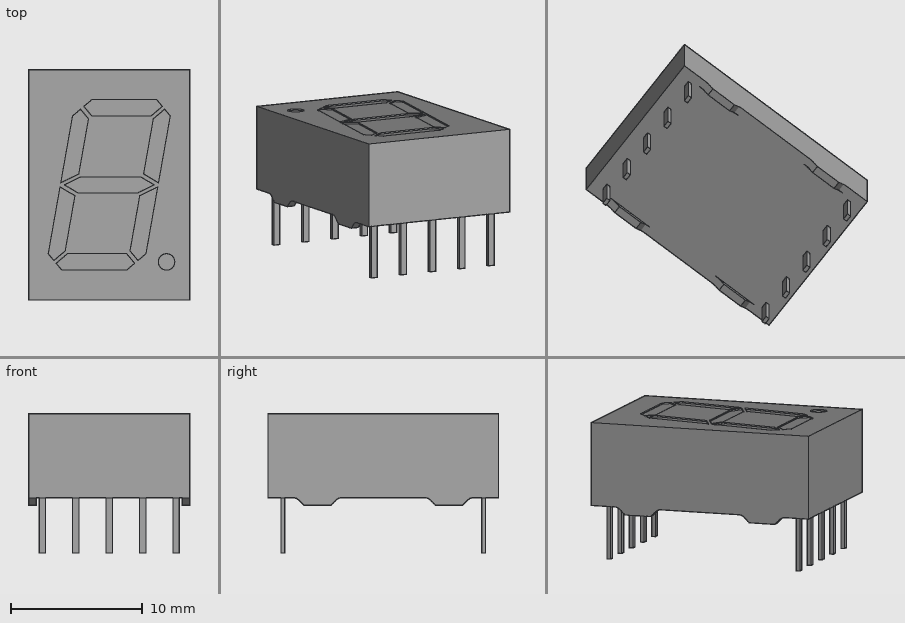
import cadquery as cq
import math

BODY_X = 12.25
BODY_Y = 17.5
BODY_Z = 6.4

PIN_X = 0.5
PIN_Y = 0.3
PIN_LENGTH = 4.2
PIN_PITCH = 2.54
PINS_PER_ROW = 5
ROW_SPACING = 15.24

FOOT_X = 0.6
FOOT_HEIGHT = 0.57
FOOT_BOTTOM_Y = 2.05
FOOT_FLANK_ANGLE = math.radians(45)
FOOT_FILLET = 0.6
FOOT_SPACING_Y = 10.0

DIGIT_HEIGHT = 12.95
DIGIT_WIDTH = 7.42
STROKE = 1.25
MIDDLE_STROKE = 1.2
CORNER_GAP = 0.3
MIDDLE_GAP = 0.28
MIDDLE_ANGLE = math.radians(28)
SLANT = math.tan(math.radians(10))
RECESS_DEPTH = 0.1

DOT_DIAMETER = 1.25
DOT_X = 4.35
DOT_Y = -(DIGIT_HEIGHT - DOT_DIAMETER) / 2

HALF_W = DIGIT_WIDTH / 2
HALF_H = DIGIT_HEIGHT / 2
INNER_W = HALF_W - STROKE
INNER_H = HALF_H - STROKE
MITRE_SHIFT = CORNER_GAP / math.sqrt(2)


def recess(points):
    """Cutter for one segment, from its upright outline."""
    slanted = [(x + SLANT * y, y) for x, y in points]
    return cq.Workplane(origin=(0, 0, BODY_Z)).polyline(slanted).close().extrude(-RECESS_DEPTH)


def horizontal_segment(side):
    """Top (side = 1) or bottom (side = -1) segment."""
    inner_x = INNER_W - MITRE_SHIFT
    tip_x = HALF_W - (STROKE + MITRE_SHIFT) / 2
    tip_y = HALF_H - (STROKE - MITRE_SHIFT) / 2
    right = [(INNER_W, HALF_H), (tip_x, tip_y), (inner_x, INNER_H)]
    left = [(-x, y) for x, y in reversed(right)]
    return recess([(x, side * y) for x, y in right + left])


def vertical_segment(side_x, side_y):
    """One of the four upright segments, chosen by the signs of its quadrant."""
    tip_x = HALF_W - (STROKE - MITRE_SHIFT) / 2
    tip_y = HALF_H - (STROKE + MITRE_SHIFT) / 2
    low_outer_y = MIDDLE_GAP / 2 / math.cos(MIDDLE_ANGLE)
    low_inner_y = low_outer_y + STROKE * math.tan(MIDDLE_ANGLE)
    points = [
        (tip_x, tip_y),
        (HALF_W, INNER_H),
        (HALF_W, low_outer_y),
        (INNER_W, low_inner_y),
        (INNER_W, INNER_H - MITRE_SHIFT),
    ]
    return recess([(side_x * x, side_y * y) for x, y in points])


def middle_segment():
    half = MIDDLE_STROKE / 2
    tip_x = HALF_W - MIDDLE_GAP / 2 / math.sin(MIDDLE_ANGLE)
    flat_x = tip_x - half / math.tan(MIDDLE_ANGLE)
    return recess([
        (tip_x, 0), (flat_x, half), (-flat_x, half),
        (-tip_x, 0), (-flat_x, -half), (flat_x, -half),
    ])


def decimal_point():
    return (
        cq.Workplane(origin=(DOT_X, DOT_Y, BODY_Z))
        .circle(DOT_DIAMETER / 2)
        .extrude(-RECESS_DEPTH)
    )


def foot(side_x, side_y):
    """Tapered foot flush with a long side of the body."""
    bottom_y = FOOT_BOTTOM_Y / 2
    sharp_top_y = bottom_y + FOOT_HEIGHT / math.tan(FOOT_FLANK_ANGLE)
    fillet_top_y = sharp_top_y + FOOT_FILLET * math.tan(FOOT_FLANK_ANGLE / 2)

    def fillet_point(angle):
        """Point (y, z) on the +Y fillet where its slope has the given angle."""
        return (
            fillet_top_y - FOOT_FILLET * math.sin(angle),
            -FOOT_FILLET * (1 - math.cos(angle)),
        )

    middle_y, middle_z = fillet_point(FOOT_FLANK_ANGLE / 2)
    end_y, end_z = fillet_point(FOOT_FLANK_ANGLE)
    center_x = side_x * (BODY_X - FOOT_X) / 2
    center_y = side_y * FOOT_SPACING_Y / 2
    return (
        cq.Workplane("YZ", origin=(center_x, center_y, 0))
        .moveTo(-fillet_top_y, 0)
        .threePointArc((-middle_y, middle_z), (-end_y, end_z))
        .lineTo(-bottom_y, -FOOT_HEIGHT)
        .lineTo(bottom_y, -FOOT_HEIGHT)
        .lineTo(end_y, end_z)
        .threePointArc((middle_y, middle_z), (fillet_top_y, 0))
        .close()
        .extrude(FOOT_X / 2, both=True)
    )


def pin(column, side_y):
    center_x = (column - (PINS_PER_ROW - 1) / 2) * PIN_PITCH
    return (
        cq.Workplane(origin=(center_x, side_y * ROW_SPACING / 2, 0))
        .rect(PIN_X, PIN_Y)
        .extrude(-PIN_LENGTH)
    )


result = cq.Workplane().box(BODY_X, BODY_Y, BODY_Z, centered=(True, True, False))

for side_y in (-1, 1):
    for column in range(PINS_PER_ROW):
        result = result.union(pin(column, side_y))
    for side_x in (-1, 1):
        result = result.union(foot(side_x, side_y))
        result = result.cut(vertical_segment(side_x, side_y))
    result = result.cut(horizontal_segment(side_y))

result = result.cut(middle_segment())
result = result.cut(decimal_point())